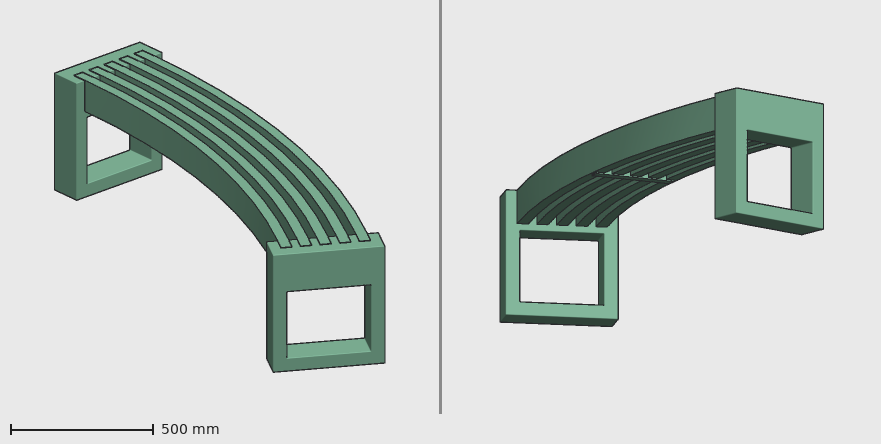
import math

import cadquery as cq

height = 450.0
end_angle = 15.0

slat_count = 5
slat_width = 40.0
slat_gap = 30.0
slat_depth = 120.0
outer_radius = 3248.8

frame_length = 400.0
frame_thickness = 120.0
opening_length = 300.0
opening_height = 255.0
opening_bottom = 50.0
slot_length = 60.0
edge_radius = 3.0

bar_width = 40.0
bar_drop = 5.0
bar_depth = 20.0
bar_end_inset = 10.0

slat_pitch = slat_width + slat_gap
seat_width = slat_count * slat_pitch - slat_gap
seat_center_radius = outer_radius - seat_width / 2
slat_bottom = height - slat_depth
bar_length = seat_width - 2 * bar_end_inset
outer_radii = [outer_radius - index * slat_pitch for index in range(slat_count)]
sin_end = math.sin(math.radians(end_angle))
cos_end = math.cos(math.radians(end_angle))


def end_point(radius, offset, side):
    """Point at a radius along the radial end plane, moved outward by offset; side is -1 or 1."""
    x = radius * sin_end + offset * cos_end
    y = radius * cos_end - offset * sin_end
    return (side * x, y - outer_radius)


def slat(radius):
    """Arc slat of the given outer radius, with straight tangent ends that fill the frame slots."""
    inner = radius - slat_width
    return (
        cq.Workplane("XY", origin=(0, 0, slat_bottom))
        .moveTo(*end_point(radius, slot_length, -1))
        .lineTo(*end_point(radius, 0, -1))
        .threePointArc((0, radius - outer_radius), end_point(radius, 0, 1))
        .lineTo(*end_point(radius, slot_length, 1))
        .lineTo(*end_point(inner, slot_length, 1))
        .lineTo(*end_point(inner, 0, 1))
        .threePointArc((0, inner - outer_radius), end_point(inner, 0, -1))
        .lineTo(*end_point(inner, slot_length, -1))
        .close()
        .extrude(slat_depth)
    )


def standing_box(length_x, length_y, length_z, x=0.0, y=0.0, bottom=0.0):
    """Box centered on (x, y) that stands on the level bottom."""
    return cq.Workplane("XY", origin=(x, y, bottom)).box(
        length_x, length_y, length_z, centered=(True, True, False)
    )


def end_frame(side):
    """Frame across one end of the seat, with a leg opening and a slot for each slat."""
    frame = standing_box(frame_thickness, frame_length, height)
    frame = frame.cut(
        standing_box(frame_thickness, opening_length, opening_height, bottom=opening_bottom)
    )
    slot_x = -side * (frame_thickness - slot_length) / 2
    for radius in outer_radii:
        slot_y = radius - slat_width / 2 - seat_center_radius
        frame = frame.cut(
            standing_box(slot_length, slat_width, slat_depth, slot_x, slot_y, slat_bottom)
        )
    frame = frame.edges().fillet(edge_radius)
    x, y = end_point(seat_center_radius, frame_thickness / 2, side)
    return frame.rotate((0, 0, 0), (0, 0, 1), -side * end_angle).translate((x, y, 0))


def cross_bar():
    """Bar that ties the slats together at mid length."""
    return standing_box(
        bar_width, bar_length, bar_depth, y=-seat_width / 2, bottom=slat_bottom - bar_drop
    )


result = end_frame(-1).union(end_frame(1))
for slat_radius in outer_radii:
    result = result.union(slat(slat_radius))
result = result.union(cross_bar())